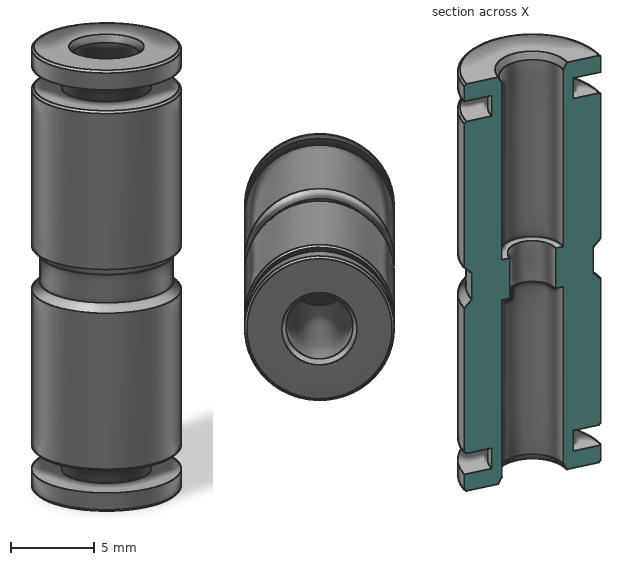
import cadquery as cq

total_length = 28.0
outer_diameter = 9.0
neck_diameter = 5.4
groove_diameter = 8.0
tube_bore_diameter = 4.0
through_bore_diameter = 3.0

collar_thickness = 1.2
neck_length = 1.37
groove_floor_width = 1.8
edge_chamfer = 0.15
mouth_diameter = 4.5
mouth_depth = 0.45
tube_bore_depth = 12.6

half_length = total_length / 2
outer_radius = outer_diameter / 2
neck_radius = neck_diameter / 2
groove_radius = groove_diameter / 2
collar_inner_z = half_length - collar_thickness
body_end_z = collar_inner_z - neck_length
groove_floor_z = groove_floor_width / 2
groove_edge_z = groove_floor_z + outer_radius - groove_radius


def revolve_symmetric(upper_profile):
    """Revolve (radius, z) points, mirrored below the mid plane, about Z."""
    lower_profile = [(radius, -z) for radius, z in reversed(upper_profile)]
    outline = cq.Workplane("XZ").polyline(lower_profile + upper_profile).close()
    return outline.revolve(360, (0, 0), (0, 1))


def make_outside():
    """Grooved body with a neck and a collar at each end."""
    return revolve_symmetric([
        (groove_radius, groove_floor_z),
        (outer_radius, groove_edge_z),
        (outer_radius, body_end_z - edge_chamfer),
        (outer_radius - edge_chamfer, body_end_z),
        (neck_radius, body_end_z),
        (neck_radius, collar_inner_z),
        (outer_radius, collar_inner_z),
        (outer_radius, half_length - edge_chamfer),
        (outer_radius - edge_chamfer, half_length),
        (0, half_length),
    ])


def make_bore():
    """Through bore, widened at each end to a tube bore with a tapered mouth."""
    through_radius = through_bore_diameter / 2
    tube_radius = tube_bore_diameter / 2
    mouth_radius = mouth_diameter / 2
    tube_stop_z = half_length - tube_bore_depth
    return revolve_symmetric([
        (through_radius, tube_stop_z),
        (tube_radius, tube_stop_z),
        (tube_radius, half_length - mouth_depth),
        (mouth_radius, half_length),
        (0, half_length),
    ])


result = make_outside().cut(make_bore())